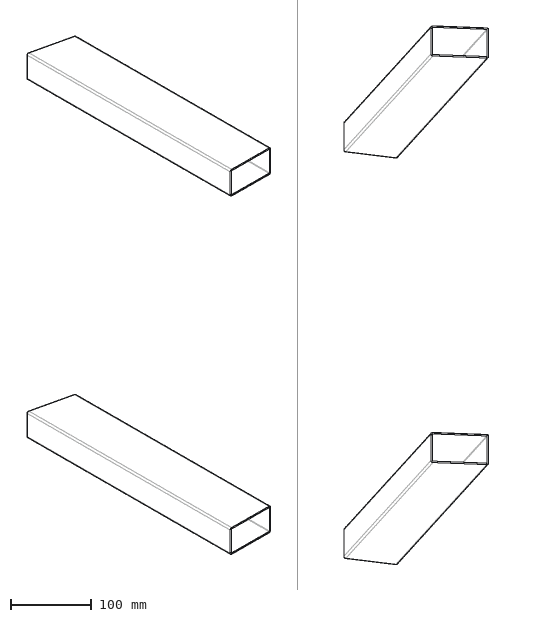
import cadquery as cq

tube_length = 355.5
tube_width = 70.0
tube_height = 40.0
overall_height = 580.0

wall = 2.0
outer_radius = 2.5
inner_radius = outer_radius - wall
end_setback = 15.5

tube_spacing = overall_height - tube_height


def rounded_bar(width, height, radius):
    """Full-length bar along X with rounded long edges, centred on the X axis."""
    return (
        cq.Workplane("YZ")
        .rect(width, height)
        .extrude(tube_length)
        .edges("|X")
        .fillet(radius)
    )


def mitre_cutter():
    """Wedge that slants the -X end, from nothing at -Y to the setback at +Y."""
    return (
        cq.Workplane("XY")
        .moveTo(0, -tube_width / 2)
        .lineTo(end_setback, tube_width / 2)
        .lineTo(0, tube_width / 2)
        .close()
        .extrude(tube_height / 2, both=True)
    )


def rectangular_tube(center_z):
    """Open-ended rectangular tube with its -X end cut at a slant."""
    outside = rounded_bar(tube_width, tube_height, outer_radius)
    bore = rounded_bar(tube_width - 2 * wall, tube_height - 2 * wall, inner_radius)
    return outside.cut(bore).cut(mitre_cutter()).translate((0, 0, center_z))


tubes = [rectangular_tube(tube_height / 2 + level * tube_spacing) for level in range(2)]

result = cq.Compound.makeCompound([tube.val() for tube in tubes])